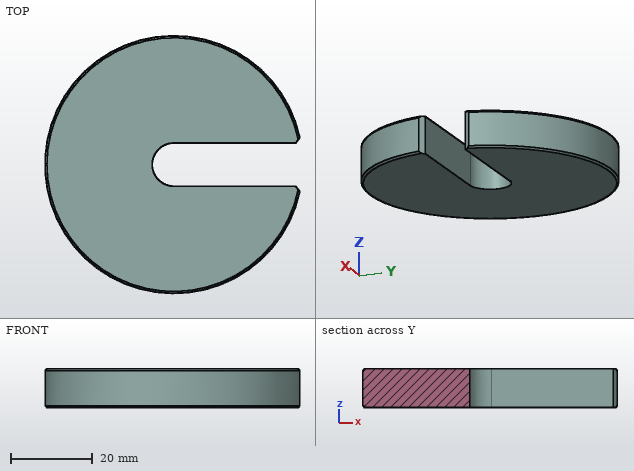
import cadquery as cq
import math

disc_diameter = 63.0
thickness = 9.5
rim_chamfer = 0.5
slot_width = 10.5
mouth_width = 13.2
flare_depth = 1.0

disc_radius = disc_diameter / 2
slot_radius = slot_width / 2
mouth_half_width = mouth_width / 2
mouth_x = math.sqrt(disc_radius**2 - mouth_half_width**2)
flare_start_x = mouth_x - flare_depth


def chamfered_disc():
    """Flat disc standing on Z = 0, with its top and bottom rim edges bevelled."""
    disc = cq.Workplane("XY").circle(disc_radius).extrude(thickness)
    return disc.faces("|Z").edges().chamfer(rim_chamfer)


def flared_slot():
    """Through slot from the disc centre out past +X: round inner end, flared mouth."""
    return (
        cq.Workplane("XY")
        .moveTo(0, slot_radius)
        .threePointArc((-slot_radius, 0), (0, -slot_radius))
        .lineTo(flare_start_x, -slot_radius)
        .lineTo(mouth_x, -mouth_half_width)
        .lineTo(disc_radius, -mouth_half_width)
        .lineTo(disc_radius, mouth_half_width)
        .lineTo(mouth_x, mouth_half_width)
        .lineTo(flare_start_x, slot_radius)
        .close()
        .extrude(thickness)
    )


result = chamfered_disc().cut(flared_slot())